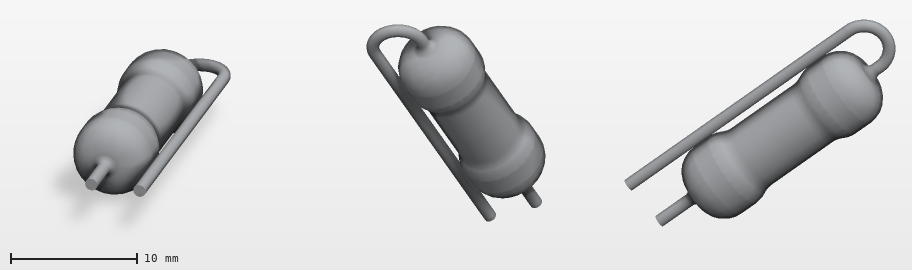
import cadquery as cq
import math

total_length = 24.6
total_width = 7.75

body_middle = 12.35
cap_diameter = 6.5
cap_radius = cap_diameter / 2
waist_radius = 2.75
waist_half_length = 3.08
flare_length = 1.9
cap_band_length = 1.53
dome_radius = 2.26
neck_fillet = 0.62

wire_diameter = 1.0
wire_radius = wire_diameter / 2
lead_spacing = total_width - cap_radius - wire_radius
bend_radius = lead_spacing / 2
bend_start = total_length - bend_radius - wire_radius

flare_end = waist_half_length + flare_length
dome_start = flare_end + cap_band_length

flare_mid_radius = (waist_radius + cap_radius) / 2
flare_mid = waist_half_length + flare_length / 2

dome_center_radius = cap_radius - dome_radius
fillet_center_radius = wire_radius + neck_fillet
center_offset = fillet_center_radius - dome_center_radius
neck_angle = math.asin(center_offset / (dome_radius + neck_fillet))
neck_end = dome_start + (dome_radius + neck_fillet) * math.cos(neck_angle)
neck_base_radius = dome_center_radius + dome_radius * math.sin(neck_angle)
neck_base = dome_start + dome_radius * math.cos(neck_angle)


def make_half_body():
    """Body from its middle plane to the end of one neck, along +Y from the origin."""
    return (
        cq.Workplane("XY")
        .lineTo(waist_radius, 0)
        .lineTo(waist_radius, waist_half_length)
        .tangentArcPoint((flare_mid_radius, flare_mid), relative=False)
        .tangentArcPoint((cap_radius, flare_end), relative=False)
        .lineTo(cap_radius, dome_start)
        .tangentArcPoint((neck_base_radius, neck_base), relative=False)
        .radiusArc((wire_radius, neck_end), neck_fillet)
        .lineTo(0, neck_end)
        .close()
        .revolve(360, (0, 0), (0, 1))
    )


def make_lead():
    """Wire running through the body and bent back beside it."""
    path = (
        cq.Workplane("XY")
        .lineTo(0, bend_start)
        .threePointArc((bend_radius, bend_start + bend_radius), (lead_spacing, bend_start))
        .lineTo(lead_spacing, 0)
    )
    return cq.Workplane("XZ").circle(wire_radius).sweep(path)


upper_half = make_half_body()
body = upper_half.union(upper_half.mirror("XZ")).translate((0, body_middle, 0))
result = body.union(make_lead())